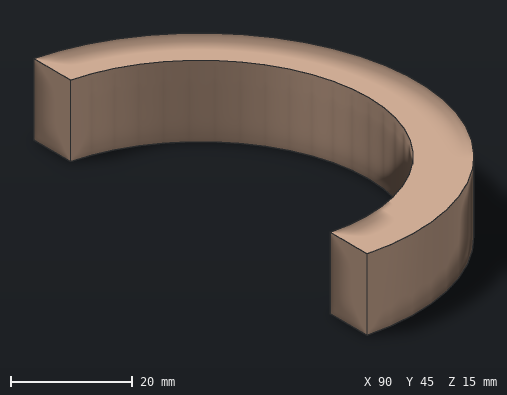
import cadquery as cq

outer_radius = 45.0
inner_radius = 35.0
height = 15.0

result = (
    cq.Workplane("XY")
    .moveTo(-outer_radius, 0)
    .threePointArc((0, outer_radius), (outer_radius, 0))
    .lineTo(inner_radius, 0)
    .threePointArc((0, inner_radius), (-inner_radius, 0))
    .close()
    .extrude(height)
)